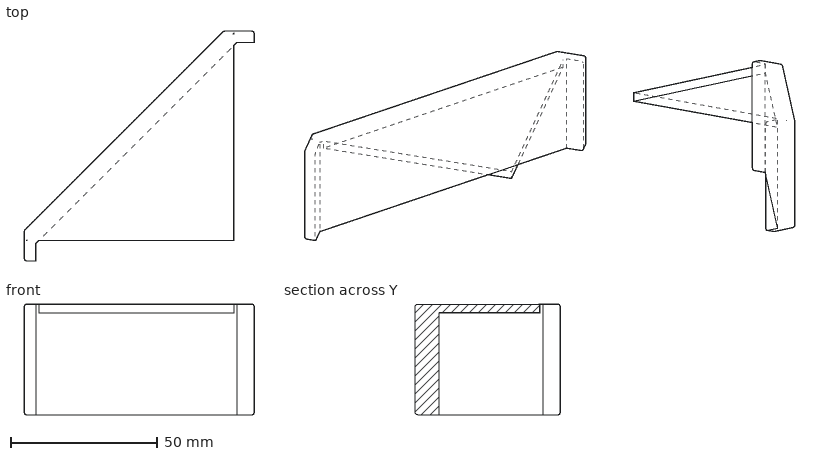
import cadquery as cq
import math

span = 78.74
height = 38.0

flange_thickness = 4.0
flange_inner_length = 6.0
wall_thickness = 6.0

inner_offset = flange_inner_length - flange_thickness
outer_offset = inner_offset + wall_thickness * math.sqrt(2)
flange_outer_length = outer_offset

plate_thickness = 3.0
plate_setback = 7.0

edge_radius = 1.0


def mirrored(point):
    """Reflect a point about the symmetry line of the bracket."""
    x, y = point
    return (span - y, span - x)


def make_wall():
    """Full-height diagonal wall with a flange at each end."""
    lower_half = [
        (flange_thickness, flange_inner_length),
        (flange_thickness, 0),
        (0, 0),
        (0, flange_outer_length),
    ]
    upper_half = [mirrored(point) for point in reversed(lower_half)]
    return cq.Workplane("XY").polyline(lower_half + upper_half).close().extrude(height)


def round_outer_edges(wall):
    """Round the vertical outer corners and the rims of the outer faces."""
    vertical_corners = [
        (0, 0),
        (0, flange_outer_length),
    ]
    vertical_corners += [mirrored(point) for point in vertical_corners]
    half_height = height / 2
    edge_middles = [(x, y, half_height) for x, y in vertical_corners]

    rim_middles = [
        (flange_thickness / 2, 0),
        (0, flange_outer_length / 2),
    ]
    rim_middles += [mirrored(point) for point in rim_middles]
    diagonal_middle = ((span - flange_outer_length) / 2, (span + flange_outer_length) / 2)
    rim_middles.append(diagonal_middle)
    for z in (0, height):
        edge_middles += [(x, y, z) for x, y in rim_middles]

    edges = []
    for middle in edge_middles:
        edges += wall.edges(cq.selectors.NearestToPointSelector(middle)).vals()
    return wall.newObject(edges).fillet(edge_radius)


def make_plate():
    """Triangular plate flush with the top of the wall, filling the inner corner."""
    middle_offset = (inner_offset + outer_offset) / 2
    low_corner = (plate_setback - middle_offset, plate_setback)
    outline = [low_corner, (span - plate_setback, plate_setback), mirrored(low_corner)]
    base = cq.Workplane("XY").workplane(offset=height - plate_thickness)
    return base.polyline(outline).close().extrude(plate_thickness)


result = round_outer_edges(make_wall()).union(make_plate())